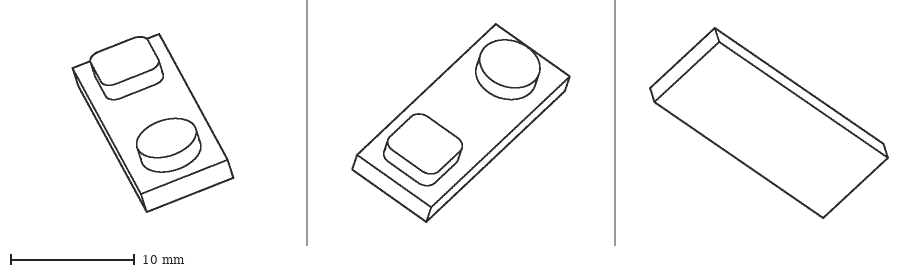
import cadquery as cq

plate_length = 19.6
plate_width = 7.59
plate_thickness = 1.9
tilt_angle = 15.0

pad_size = 5.0
pad_height = 1.5
pad_corner_radius = 1.0
pad_spacing = 12.0
pad_offset = pad_spacing / 2


def make_plate():
    """Rectangular plate with its top face at Z = plate_thickness."""
    return cq.Workplane("XY").box(
        plate_length, plate_width, plate_thickness, centered=(True, True, False)
    )


def pad_plane(x):
    """Workplane on the plate's top face, centred on a pad."""
    return cq.Workplane("XY", origin=(x, 0, plate_thickness))


def make_square_pad():
    """Square pad with rounded vertical edges."""
    pad = pad_plane(-pad_offset).rect(pad_size, pad_size).extrude(pad_height)
    return pad.edges("|Z").fillet(pad_corner_radius)


def make_round_pad():
    """Cylindrical pad."""
    return pad_plane(pad_offset).circle(pad_size / 2).extrude(pad_height)


flat_part = make_plate().union(make_square_pad()).union(make_round_pad())
result = flat_part.rotate((0, 0, 0), (1, 0, 0), tilt_angle)